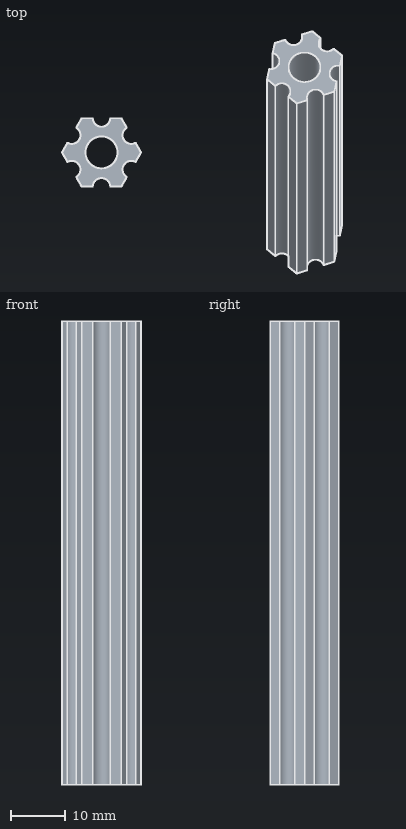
import cadquery as cq
import math

LENGTH = 85.725
ACROSS_FLATS = 12.7
BORE_DIAMETER = 5.87
GROOVE_DIAMETER = 3.175

SIDES = 6
SIDE_ANGLE = 360 / SIDES
APOTHEM = ACROSS_FLATS / 2
ACROSS_CORNERS = ACROSS_FLATS / math.cos(math.pi / SIDES)
FIRST_FLAT_ANGLE = SIDE_ANGLE / 2


def hexagonal_bar():
    """Bar along Z with two corners on the X axis."""
    return cq.Workplane("XY").polygon(SIDES, ACROSS_CORNERS).extrude(LENGTH)


def through_bore():
    """Round bore on the bar axis."""
    return cq.Workplane("XY").circle(BORE_DIAMETER / 2).extrude(LENGTH)


def flat_grooves():
    """Full-length round cutters centred on the middle of each flat."""
    return (
        cq.Workplane("XY")
        .polarArray(APOTHEM, FIRST_FLAT_ANGLE, 360, SIDES)
        .circle(GROOVE_DIAMETER / 2)
        .extrude(LENGTH)
    )


result = hexagonal_bar().cut(through_bore()).cut(flat_grooves())